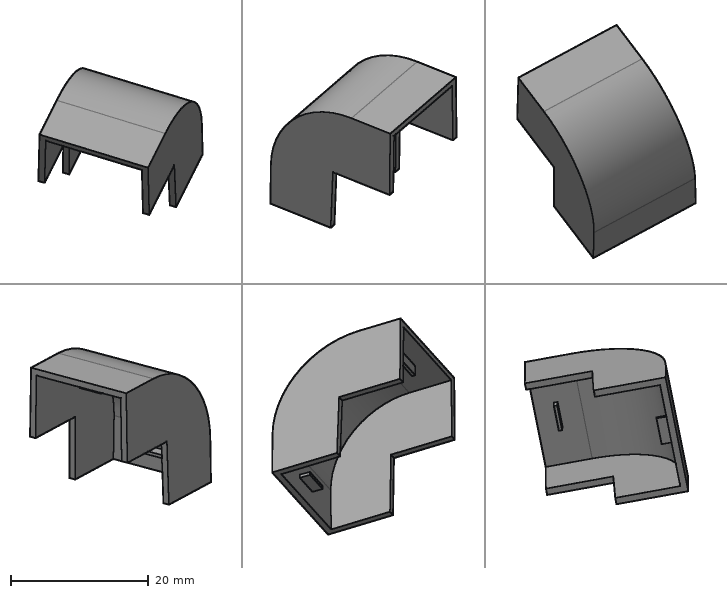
import cadquery as cq
import math

length = 20.9
height = 20.9
base_width = 17.72
side_draft = 1.0

wall = 1.0
outer_radius = 14.0
inner_radius = outer_radius - wall

notch_length = 10.0
notch_height = 10.0
leg_base_depth = 10.65

tab_offset = 3.0
tab_thickness = 0.59
tab_tip_thickness = 0.5
tab_reach = 1.65
ceiling_tab_width = 3.87
back_tab_width = 4.01


def drafted_block(width):
    """Block of full length and height whose sides lean inwards towards the top."""
    half_base = width / 2
    half_top = half_base - height * math.tan(math.radians(side_draft))
    outline = [(-half_base, 0), (half_base, 0), (half_top, height), (-half_top, height)]
    return cq.Workplane("XZ").polyline(outline).close().extrude(-length)


def elbow_profile(inset, radius):
    """Full-width elbow in the YZ plane, inset from the back and top faces."""
    back = length - inset
    top = height - inset
    return (
        cq.Workplane("YZ")
        .moveTo(0, 0)
        .lineTo(back, 0)
        .lineTo(back, top - radius)
        .radiusArc((back - radius, top), -radius)
        .lineTo(0, top)
        .close()
        .extrude(base_width / 2, both=True)
    )


def corner_notch():
    """Space below the front leg, with the rear leg narrowing towards its lower end."""
    outline = [
        (0, 0),
        (length - leg_base_depth, 0),
        (notch_length, notch_height),
        (0, notch_height),
    ]
    return cq.Workplane("YZ").polyline(outline).close().extrude(base_width / 2, both=True)


def tab_profile():
    """Tab section as (distance from the open end, depth below the outer face), rooted in the wall."""
    root = wall / 2
    tip = wall + tab_reach
    return [
        (tab_offset, root),
        (tab_offset + tab_thickness, root),
        (tab_offset + tab_thickness, wall),
        (tab_offset + tab_tip_thickness, tip),
        (tab_offset, tip),
    ]


def centred_tab(outline, width):
    """Tab of the given YZ outline, centred across the part."""
    return cq.Workplane("YZ").polyline(outline).close().extrude(width / 2, both=True)


def ceiling_tab():
    """Tab hanging from the underside of the top wall."""
    outline = [(along, height - depth) for along, depth in tab_profile()]
    return centred_tab(outline, ceiling_tab_width)


def back_tab():
    """Tab pointing forwards from the back wall."""
    outline = [(length - depth, along) for along, depth in tab_profile()]
    return centred_tab(outline, back_tab_width)


outer = drafted_block(base_width).intersect(elbow_profile(0, outer_radius))
cavity = drafted_block(base_width - 2 * wall).intersect(elbow_profile(wall, inner_radius))
shell = outer.cut(cavity).cut(corner_notch())

result = shell.union(ceiling_tab()).union(back_tab())